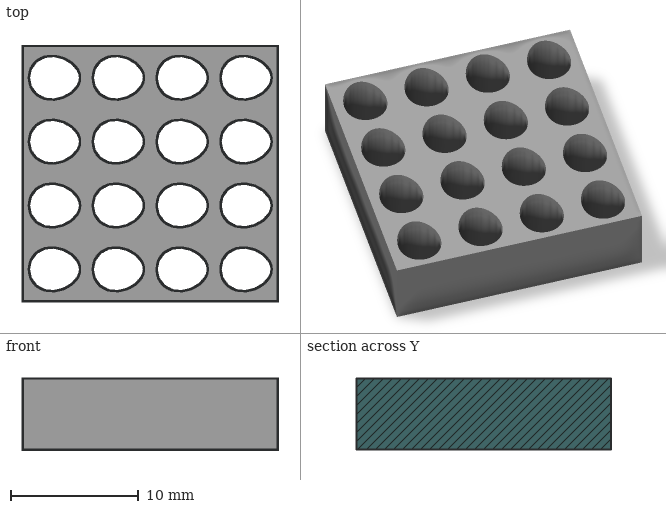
import cadquery as cq
import math

block_side = 20.0
block_height = 5.6

holes_per_side = 4
hole_pitch = block_side / holes_per_side

egg_half_length = 2.0
egg_half_width = 1.7
egg_skew = 0.11


def egg_point(turn):
    """Point on the egg outline, for turn going from 0 to 1 once around."""
    angle = 2 * math.pi * turn
    taper = 1 - egg_skew * math.cos(angle)
    x = egg_half_length * math.cos(angle)
    y = egg_half_width * taper * math.sin(angle)
    return x, y


def make_block():
    return cq.Workplane("XY").box(block_side, block_side, block_height, centered=(True, True, False))


def make_egg_holes():
    """Egg-shaped prisms of the full block height at every cell centre."""
    return (
        cq.Workplane("XY")
        .rarray(hole_pitch, hole_pitch, holes_per_side, holes_per_side)
        .eachpoint(lambda place: egg_prism().moved(place), combine=False)
    )


def egg_prism():
    outline = cq.Workplane("XY").parametricCurve(egg_point)
    return outline.extrude(block_height).val()


result = make_block().cut(make_egg_holes())